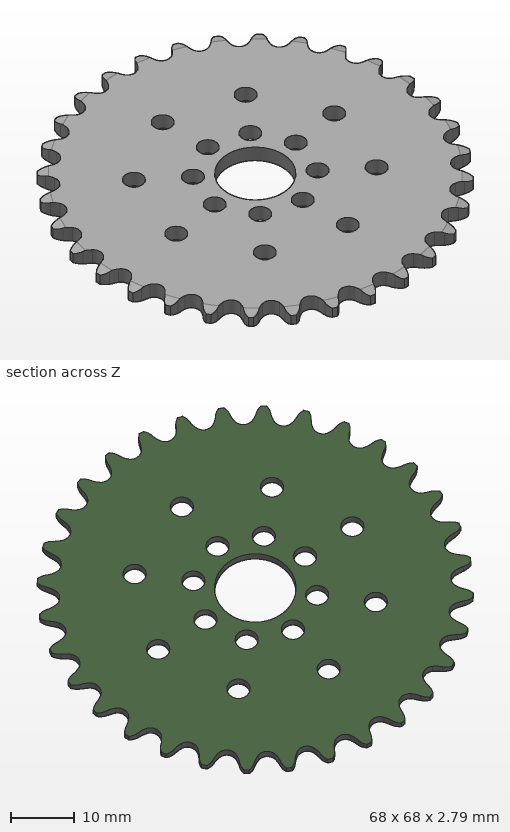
import cadquery as cq
import math

INCH = 25.4

tooth_count = 32
chain_pitch = 0.25 * INCH
roller_diameter = 0.130 * INCH
half_pitch_angle = math.pi / tooth_count
pitch_radius = chain_pitch / (2 * math.sin(half_pitch_angle))
tip_radius = chain_pitch * (0.6 + 1 / math.tan(half_pitch_angle)) / 2

thickness = 0.110 * INCH
bevel_start_radius = pitch_radius
bevel_angle = math.radians(15)
bevel_drop = (tip_radius - bevel_start_radius) * math.tan(bevel_angle)

bore_diameter = 0.5 * INCH
bolt_diameter = 0.140 * INCH
bolts_per_circle = 8
bolt_circle_diameters = [0.770 * INCH, 1.5 * INCH]

seat_radius = (1.005 * roller_diameter + 0.003 * INCH) / 2
seat_angle = math.radians(35 + 60 / tooth_count)
working_angle = math.radians(18 - 56 / tooth_count)
topping_offset = 1.4 * roller_diameter
topping_angle = math.radians(17 - 64 / tooth_count)
nominal_working_offset = 0.8 * roller_diameter
topping_radius = (
    nominal_working_offset * math.cos(working_angle)
    + topping_offset * math.cos(topping_angle)
    - (seat_radius + nominal_working_offset)
)


def polar(center, radius, angle):
    return (center[0] + radius * math.cos(angle), center[1] + radius * math.sin(angle))


def mirrored(point):
    return (-point[0], point[1])


def make_gap():
    """Cutter for the tooth gap that is centred on the +Y axis."""
    seat_center = (0, pitch_radius)
    topping_center = polar(seat_center, topping_offset, -half_pitch_angle)

    reach = seat_radius + topping_radius
    run = topping_offset * math.cos(seat_angle - half_pitch_angle)
    working_arc_offset = (topping_offset**2 - reach**2) / (2 * (reach - run))
    working_arc_radius = seat_radius + working_arc_offset
    working_arc_center = polar(seat_center, working_arc_offset, math.pi - seat_angle)
    flank_angle = math.atan2(
        topping_center[1] - working_arc_center[1],
        topping_center[0] - working_arc_center[0],
    )

    seat_bottom = polar(seat_center, seat_radius, -math.pi / 2)
    seat_end = polar(seat_center, seat_radius, -seat_angle)
    working_mid = polar(working_arc_center, working_arc_radius, (flank_angle - seat_angle) / 2)
    working_end = polar(working_arc_center, working_arc_radius, flank_angle)

    tooth_direction = math.pi / 2 - half_pitch_angle
    bearing = math.atan2(topping_center[1], topping_center[0]) - tooth_direction
    center_distance = math.hypot(*topping_center)
    side_distance = center_distance * math.sin(bearing)
    apex_radius = center_distance * math.cos(bearing) + math.sqrt(topping_radius**2 - side_distance**2)
    apex = polar((0, 0), apex_radius, tooth_direction)
    apex_angle = math.atan2(apex[1] - topping_center[1], apex[0] - topping_center[0])
    topping_mid = polar(topping_center, topping_radius, (math.pi + flank_angle + apex_angle) / 2)
    outer_y = apex_radius + roller_diameter

    return (
        cq.Workplane("XY")
        .workplane(offset=-thickness / 2)
        .moveTo(*mirrored(seat_end))
        .threePointArc(seat_bottom, seat_end)
        .threePointArc(working_mid, working_end)
        .threePointArc(topping_mid, apex)
        .lineTo(apex[0], outer_y)
        .lineTo(-apex[0], outer_y)
        .lineTo(*mirrored(apex))
        .threePointArc(mirrored(topping_mid), mirrored(working_end))
        .threePointArc(mirrored(working_mid), mirrored(seat_end))
        .close()
        .extrude(thickness)
    )


def make_blank():
    """Disc whose rim is bevelled on both faces, centred on Z = 0."""
    half_thickness = thickness / 2
    half_tip = half_thickness - bevel_drop
    return (
        cq.Workplane("XZ")
        .moveTo(0, -half_thickness)
        .lineTo(bevel_start_radius, -half_thickness)
        .lineTo(tip_radius, -half_tip)
        .lineTo(tip_radius, half_tip)
        .lineTo(bevel_start_radius, half_thickness)
        .lineTo(0, half_thickness)
        .close()
        .revolve(360, (0, 0, 0), (0, 1, 0))
    )


def cut_teeth(body):
    gap = make_gap()
    for index in range(tooth_count):
        body = body.cut(gap.rotate((0, 0, 0), (0, 0, 1), index * 360 / tooth_count))
    return body


def cut_holes(body):
    body = body.faces(">Z").workplane(origin=(0, 0, 0)).hole(bore_diameter)
    for circle_diameter in bolt_circle_diameters:
        body = (
            body.faces(">Z")
            .workplane(origin=(0, 0, 0))
            .polarArray(circle_diameter / 2, 0, 360, bolts_per_circle)
            .hole(bolt_diameter)
        )
    return body


result = cut_holes(cut_teeth(make_blank()))